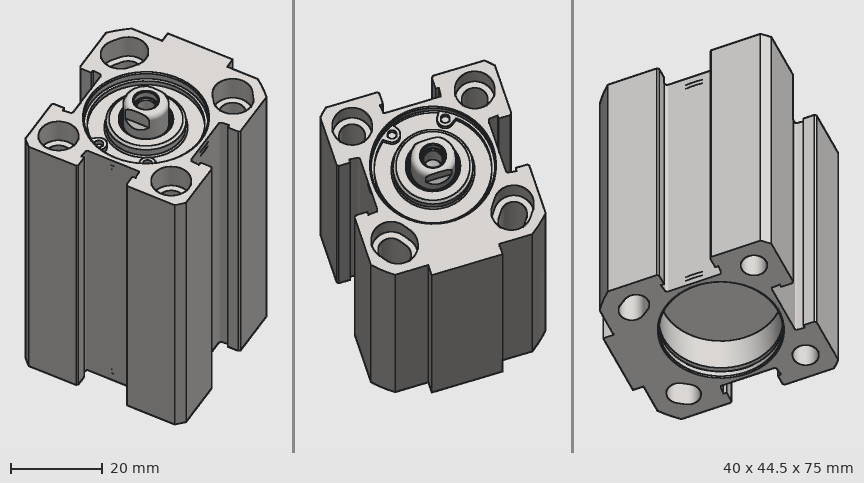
import cadquery as cq
import math

total_height = 75
rod_projection = 5.55
housing_height = total_height - rod_projection
width = 40.0
total_depth = 44.5
half_width = width / 2
tail_y = total_depth - half_width
shoulder_y = 22.0
tail_width = 16.2
corner_radius = 27.0

side_slot_mouth = 12.15
front_slot_mouth = 12.0
slot_undercut = 0.75
side_slot_corner = 0.6
front_slot_corner = 0.3
flank_taper = 0.15
slot_lip_distance = 16.95
side_slot_floor = 14.7
front_slot_floor = 14.85
lip_chamfer = 0.4

hole_offset = 14.0
hole_diameter = 5.8
counterbore_diameter = 8.8
counterbore_depth = 6.0
elongation_x = 1.05
elongation_y = 1.5

recess_diameter = 27.0
recess_chamfer = 0.3
groove_distance = 1.9
groove_width = 1.2
groove_diameter = 29.2
cover_thickness = 9.0
recess_depth = groove_distance + groove_width + cover_thickness

hub_diameter = 17.5
hub_setback = 0.45
hub_chamfer_radial = 0.7
hub_chamfer_height = 0.5
hub_flare = 0.4
seal_lip_diameter = 10.5
seal_lip_chamfer = 0.2
seal_lip_depth = 1.5
seal_seat_diameter = 11.4
seal_seat_depth = 0.7
seal_seat_chamfer = 0.3

ring_outer_diameter = 28.4
ring_inner_diameter = 25.65
ear_x = 6.1
ear_y = -10.3
ear_radius = 1.8
ear_hole_diameter = 2.0
ear_flare = 25

rod_diameter = 10.0
rod_fillet = 1.35
flat_width = 8.0
flat_length = 3.5
rod_hole_diameter = 4.1
rod_entry_diameter = 5.25
rod_entry_depth = 1.9
rod_hole_mouth = 5.8
thread_chamfer = 0.3
rod_hole_depth = 7.5
drill_point_angle = 118

ring_top = housing_height - groove_distance
cover_top = ring_top - groove_width
cover_bottom = housing_height - recess_depth
hub_top = housing_height - hub_setback


def cylinder(diameter, bottom, top):
    return cq.Workplane("XY").workplane(offset=bottom).circle(diameter / 2).extrude(top - bottom)


def revolved(points):
    """Solid turned about the Z axis from (radius, height) points."""
    return cq.Workplane("XZ").polyline(points).close().revolve(360, (0, 0, 0), (0, 1, 0))


def housing_blank():
    body_depth = shoulder_y + half_width
    body = (
        cq.Workplane("XY")
        .center(0, shoulder_y - body_depth / 2)
        .rect(width, body_depth)
        .extrude(housing_height)
        .intersect(cylinder(2 * corner_radius, 0, housing_height))
    )
    tail = cq.Workplane("XY").center(0, tail_y / 2).rect(tail_width, tail_y).extrude(housing_height)
    return body.union(tail)


def t_slot(mouth, corner, floor, angle):
    """Slot along Z that opens to -Y before it is turned by the angle about Z."""
    mouth_x = mouth / 2
    undercut_x = mouth_x + slot_undercut
    flank_x = undercut_x - flank_taper
    floor_x = flank_x - corner
    arc_inset = corner * (1 - math.sqrt(0.5))
    slot = (
        cq.Workplane("XY")
        .moveTo(-floor_x, -floor)
        .lineTo(floor_x, -floor)
        .threePointArc((flank_x - arc_inset, -floor - arc_inset), (flank_x, -floor - corner))
        .lineTo(undercut_x, -slot_lip_distance)
        .lineTo(mouth_x, -slot_lip_distance)
        .lineTo(mouth_x, -half_width + lip_chamfer)
        .lineTo(mouth_x + lip_chamfer, -half_width)
        .lineTo(-mouth_x - lip_chamfer, -half_width)
        .lineTo(-mouth_x, -half_width + lip_chamfer)
        .lineTo(-mouth_x, -slot_lip_distance)
        .lineTo(-undercut_x, -slot_lip_distance)
        .lineTo(-flank_x, -floor - corner)
        .threePointArc((-flank_x + arc_inset, -floor - arc_inset), (-floor_x, -floor))
        .close()
        .extrude(housing_height)
    )
    return slot.rotate((0, 0, 0), (0, 0, 1), angle)


def stretched_hole(x, diameter, bottom):
    """Hole of a rear corner: an obround from the bolt centre towards the tail."""
    inward = -math.copysign(elongation_x, x)
    spacing = math.hypot(elongation_x, elongation_y)
    angle = math.degrees(math.atan2(elongation_y, inward))
    return (
        cq.Workplane("XY")
        .workplane(offset=bottom)
        .center(x + inward / 2, hole_offset + elongation_y / 2)
        .slot2D(spacing + diameter, diameter, angle)
        .extrude(housing_height - bottom)
    )


def end_recess():
    """Recess, mouth chamfer and ring groove at the top end."""
    recess = cylinder(recess_diameter, cover_bottom, housing_height)
    groove = cylinder(groove_diameter, cover_top, ring_top)
    mouth = revolved([
        (0, housing_height - recess_chamfer),
        (recess_diameter / 2, housing_height - recess_chamfer),
        (recess_diameter / 2 + recess_chamfer, housing_height),
        (0, housing_height),
    ])
    return recess.union(groove).union(mouth)


def make_housing():
    housing = housing_blank()
    housing = housing.cut(t_slot(front_slot_mouth, front_slot_corner, front_slot_floor, 0))
    for angle in (-90, 90):
        housing = housing.cut(t_slot(side_slot_mouth, side_slot_corner, side_slot_floor, angle))

    counterbore_bottom = housing_height - counterbore_depth
    for x in (-hole_offset, hole_offset):
        for diameter, bottom in [(hole_diameter, 0), (counterbore_diameter, counterbore_bottom)]:
            front_hole = cylinder(diameter, bottom, housing_height).translate((x, -hole_offset, 0))
            housing = housing.cut(front_hole).cut(stretched_hole(x, diameter, bottom))

    top_recess = end_recess()
    bottom_recess = top_recess.mirror("XY", (0, 0, housing_height / 2))
    return housing.cut(top_recess).cut(bottom_recess)


def make_rod_cover():
    hub_radius = hub_diameter / 2
    rod_radius = rod_diameter / 2
    seal_lip_radius = seal_lip_diameter / 2
    seal_lip_bottom = hub_top - seal_lip_depth
    seat_radius = seal_seat_diameter / 2
    return revolved([
        (rod_radius, cover_bottom),
        (recess_diameter / 2, cover_bottom),
        (recess_diameter / 2, cover_top),
        (hub_radius + hub_flare, cover_top),
        (hub_radius, cover_top + hub_flare),
        (hub_radius, hub_top - hub_chamfer_height),
        (hub_radius - hub_chamfer_radial, hub_top),
        (seat_radius + seal_seat_chamfer, hub_top),
        (seat_radius, hub_top - seal_seat_chamfer),
        (seat_radius, hub_top - seal_seat_depth),
        (seal_lip_radius + seal_lip_chamfer, hub_top - seal_seat_depth),
        (seal_lip_radius, hub_top - seal_seat_depth - seal_lip_chamfer),
        (seal_lip_radius, seal_lip_bottom),
        (rod_radius, seal_lip_bottom),
    ])


def ring_ear():
    """Right-hand ear, before it is drilled."""
    radial = math.atan2(ear_y, ear_x)
    outer_flank = radial + math.radians(ear_flare)
    reach = recess_diameter / 2 - math.hypot(ear_x, ear_y) + ear_radius

    def flank(direction, side):
        start_x = ear_x + ear_radius * math.cos(direction + side * math.pi / 2)
        start_y = ear_y + ear_radius * math.sin(direction + side * math.pi / 2)
        end_x = start_x + reach * math.cos(direction)
        end_y = start_y + reach * math.sin(direction)
        return (start_x, start_y), (end_x, end_y)

    outer_start, outer_end = flank(outer_flank, 1)
    inner_start, inner_end = flank(radial, -1)
    head = cylinder(2 * ear_radius, cover_top, ring_top).translate((ear_x, ear_y, 0))
    root = (
        cq.Workplane("XY")
        .workplane(offset=cover_top)
        .polyline([(ear_x, ear_y), outer_start, outer_end, inner_end, inner_start])
        .close()
        .extrude(groove_width)
    )
    return head.union(root).intersect(cylinder(recess_diameter, cover_top, ring_top))


def make_retaining_ring():
    band = cylinder(ring_outer_diameter, cover_top, ring_top)
    band = band.cut(cylinder(ring_inner_diameter, cover_top, ring_top))
    gap_reach = 2
    gap = (
        cq.Workplane("XY")
        .workplane(offset=cover_top)
        .polyline([(0, 0), (gap_reach * ear_x, gap_reach * ear_y), (-gap_reach * ear_x, gap_reach * ear_y)])
        .close()
        .extrude(groove_width)
    )
    right_ear = ring_ear()
    ring = band.cut(gap).union(right_ear).union(right_ear.mirror("YZ"))
    for x in (-ear_x, ear_x):
        ring = ring.cut(cylinder(ear_hole_diameter, cover_top, ring_top).translate((x, ear_y, 0)))
    return ring


def make_piston_rod():
    rod = cylinder(rod_diameter, cover_bottom, total_height).faces(">Z").edges().fillet(rod_fillet)

    flat_y = flat_width / 2
    flat_bottom = total_height - flat_length
    ramp = rod_diameter / 2 - flat_y
    for side in (-1, 1):
        flat = (
            cq.Workplane("YZ")
            .polyline([
                (side * flat_y, total_height),
                (side * flat_y, flat_bottom),
                (side * (flat_y + ramp), flat_bottom - ramp),
                (side * (flat_y + ramp), total_height),
            ])
            .close()
            .extrude(rod_diameter / 2, both=True)
        )
        rod = rod.cut(flat)

    hole_radius = rod_hole_diameter / 2
    entry_radius = rod_entry_diameter / 2
    mouth_radius = rod_hole_mouth / 2
    entry_bottom = total_height - rod_entry_depth
    hole_bottom = total_height - rod_hole_depth
    point_depth = hole_radius / math.tan(math.radians(drill_point_angle / 2))
    hole = revolved([
        (0, total_height),
        (mouth_radius, total_height),
        (entry_radius, total_height - (mouth_radius - entry_radius)),
        (entry_radius, entry_bottom),
        (hole_radius + thread_chamfer, entry_bottom),
        (hole_radius, entry_bottom - thread_chamfer),
        (hole_radius, hole_bottom),
        (0, hole_bottom - point_depth),
    ])
    return rod.cut(hole)


housing = make_housing()
rod_cover = make_rod_cover()
retaining_ring = make_retaining_ring()
piston_rod = make_piston_rod()

result = cq.Compound.makeCompound([
    housing.val(),
    rod_cover.val(),
    retaining_ring.val(),
    piston_rod.val(),
])